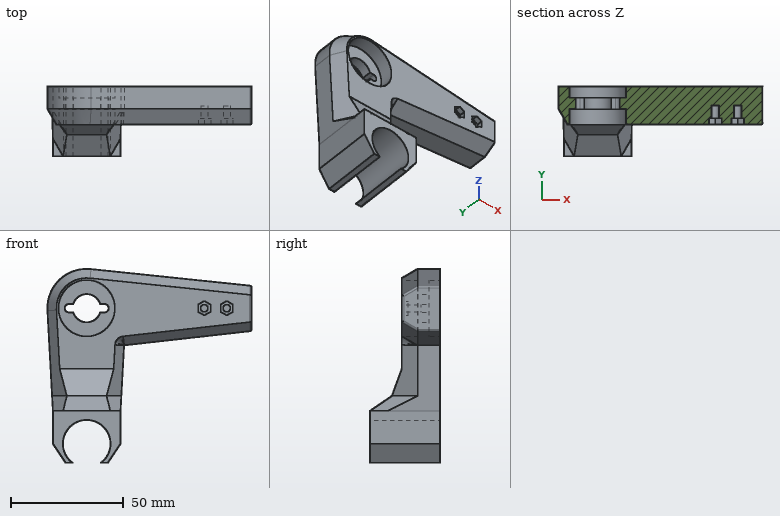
import cadquery as cq
import math


side_depth = 9.95
arm_depth = 17.0
neck_depth = 21.35
clip_depth = 31.0
neck_bevel_start_depth = 23.1
bevel_angle = 30.0
bevel_slope = math.tan(math.radians(bevel_angle))

pivot_radius = 17.5
arm_length = 73.0
arm_end_half_height = 9.95
end_round = 1.0
elbow_height = -16.5

leg_slope_start = -26.9
leg_bottom = -38.8
clip_top = -45.4
clip_bottom = -68.5
clip_half_width = 15.0
clip_lip_half_width = 9.3
clip_bore_height = -60.0
clip_bore_diameter = 21.0

recess_diameter = 25.0
recess_depth = 7.0
back_recess_depth = 5.0
pivot_bore_diameter = 12.4
slot_length = 19.4
slot_width = 3.6

nut_positions = (52.0, 62.0)
nut_flats = 5.5
nut_depth = 2.8
screw_hole_diameter = 3.3
screw_hole_bottom = arm_depth / 2

overrun = 1.3
trim_margin = 0.9


def front_plane(depth):
    """Workplane facing -Y at the given depth from the back."""
    return cq.Workplane("XZ", origin=(0, -depth, 0))


def tangent_point(x, z, side):
    """Point of the pivot circle touched by a line from (x, z), on the chosen side of that line."""
    reach = math.acos(pivot_radius / math.hypot(x, z))
    angle = math.atan2(z, x) + side * reach
    return pivot_radius * math.cos(angle), pivot_radius * math.sin(angle)


def extend(start, end):
    """Point beyond the end of a line."""
    return tuple(a + overrun * (b - a) for a, b in zip(start, end))


arm_touch = tangent_point(arm_length, arm_end_half_height, 1)
leg_touch = tangent_point(-clip_half_width, clip_top, -1)
arm_far = extend(arm_touch, (arm_length, arm_end_half_height))
leg_far = extend(leg_touch, (-clip_half_width, clip_top))


def leg_half_width(z):
    """Half width of the tapering leg at height z."""
    run = (leg_far[0] - leg_touch[0]) / (leg_far[1] - leg_touch[1])
    return -(leg_touch[0] + run * (z - leg_touch[1]))


def arm_outline(plane):
    """Elbow-shaped outline wrapped around the pivot, running past the arm end and the leg bottom."""
    corner = pivot_radius * math.sqrt(0.5)
    return (
        plane.moveTo(*leg_far)
        .lineTo(*leg_touch)
        .threePointArc((-corner, corner), arm_touch)
        .lineTo(*arm_far)
        .lineTo(arm_far[0], -arm_far[1])
        .lineTo(leg_half_width(elbow_height), elbow_height)
        .lineTo(-leg_far[0], leg_far[1])
        .close()
    )


def make_arm():
    """Arm and leg with bevelled sides, trimmed to the side profile and rounded at the end."""
    straight = arm_outline(front_plane(0)).extrude(side_depth)
    bevelled = arm_outline(front_plane(side_depth)).extrude(neck_depth - side_depth, taper=bevel_angle)
    trim_top = pivot_radius + trim_margin
    profile = (
        cq.Workplane("YZ", origin=(-trim_top, 0, 0))
        .polyline([
            (0, trim_top),
            (-arm_depth, trim_top),
            (-arm_depth, leg_slope_start),
            (-neck_depth, leg_bottom),
            (0, leg_bottom),
        ])
        .close()
        .extrude(arm_length + trim_top)
    )
    arm = straight.union(bevelled).intersect(profile)
    back_tolerance = 0.1
    end_edges = [e for e in arm.faces(">X").edges().vals() if e.Center().y < -back_tolerance]
    return arm.newObject(end_edges).fillet(end_round)


def neck_section(z, bevel_start, depth, half_width):
    """Horizontal section of the neck with bevelled front corners."""
    front_half_width = half_width - (depth - bevel_start) * bevel_slope
    corners = [
        (-half_width, 0),
        (-half_width, -bevel_start),
        (-front_half_width, -depth),
        (front_half_width, -depth),
        (half_width, -bevel_start),
        (half_width, 0),
    ]
    return cq.Wire.makePolygon([cq.Vector(x, y, z) for x, y in corners], close=True)


def make_neck():
    """Flared neck between the leg and the clip."""
    upper = neck_section(leg_bottom, side_depth, neck_depth, leg_half_width(leg_bottom))
    lower = neck_section(clip_top, neck_bevel_start_depth, clip_depth, clip_half_width)
    return cq.Workplane(cq.Solid.makeLoft([upper, lower], True))


def make_clip():
    """Open snap clip with a round bore."""
    block = (
        front_plane(0)
        .polyline([
            (-clip_half_width, clip_top),
            (-clip_half_width, clip_bore_height),
            (-clip_lip_half_width, clip_bottom),
            (clip_lip_half_width, clip_bottom),
            (clip_half_width, clip_bore_height),
            (clip_half_width, clip_top),
        ])
        .close()
        .extrude(clip_depth)
    )
    bore = front_plane(0).center(0, clip_bore_height).circle(clip_bore_diameter / 2).extrude(clip_depth)
    return block.cut(bore)


def cut_pivot(body):
    """Front and back recesses joined by a round bore with a slot across it."""
    recess_radius = recess_diameter / 2
    front_recess = front_plane(arm_depth - recess_depth).circle(recess_radius).extrude(recess_depth)
    back_recess = front_plane(0).circle(recess_radius).extrude(back_recess_depth)
    bore = front_plane(0).circle(pivot_bore_diameter / 2).extrude(arm_depth)
    slot = front_plane(0).slot2D(slot_length, slot_width).extrude(arm_depth)
    return body.cut(front_recess).cut(back_recess).cut(bore).cut(slot)


def cut_nut_pocket(body, x):
    """Hexagonal pocket with upright points and a blind screw hole in its floor."""
    corner_diameter = nut_flats / math.cos(math.radians(30))
    pocket = (
        front_plane(arm_depth - nut_depth)
        .center(x, 0)
        .transformed(rotate=(0, 0, 30))
        .polygon(6, corner_diameter)
        .extrude(nut_depth)
    )
    hole = (
        front_plane(screw_hole_bottom)
        .center(x, 0)
        .circle(screw_hole_diameter / 2)
        .extrude(arm_depth - screw_hole_bottom)
    )
    return body.cut(pocket).cut(hole)


bracket = make_arm().union(make_neck()).union(make_clip())
bracket = cut_pivot(bracket)
for nut_x in nut_positions:
    bracket = cut_nut_pocket(bracket, nut_x)

result = cq.Compound.makeCompound([bracket.val()])